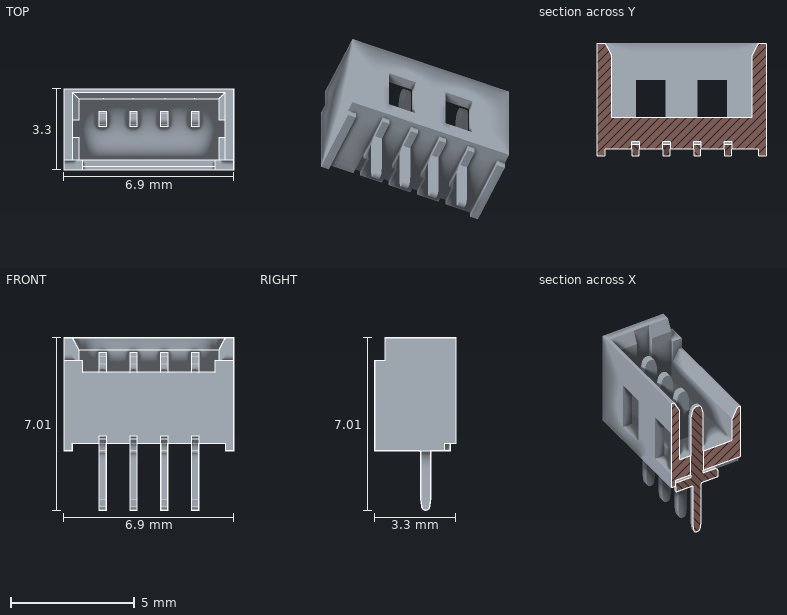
import cadquery as cq


length = 6.9
depth = 3.3
height = 4.6
overall_height = 7.01
back_y = 1.23
front_y = back_y - depth

floor_z = 1.6
wall = 0.41
end_wall = 0.61
cavity_length = length - 2 * end_wall
cavity_front_y = front_y + wall
cavity_back_y = back_y - wall

lead_in = 0.26
lead_in_depth = 0.51
mouth_length = cavity_length + 2 * lead_in

key_width = 0.72
key_y = -0.39

front_top_z = 3.68
window_length = 5.38
window_z = 3.2

opening_width = 1.2
opening_bottom_z = 1.0
opening_top_z = 3.1
opening_spacing = 2.5

foot_height = 0.3
foot_length = 0.34
foot_setback = 0.46

pin_count = 4
pitch = 1.25
pin_thickness = 0.3
upper_half_width = 0.3
upper_tip_half_width = 0.22
upper_taper_z = 3.52
upper_arc_z = 3.84
upper_tip_z = 4.0
lower_half_width = 0.205
lower_tip_half_width = 0.165
lower_taper_z = -1.98
lower_arc_z = -2.26
lower_tip_z = height - overall_height
arm_reach = 1.0
arm_height = 0.49
arm_corner_radius = 0.19
arm_root_radius = 0.07

slot_height = 0.6

pin_xs = [(i - (pin_count - 1) / 2) * pitch for i in range(pin_count)]


def block(x_size, y_min, y_max, z_min, z_max, x=0):
    """Box centred on x, between the given Y and Z limits."""
    return (
        cq.Workplane("XY")
        .box(x_size, y_max - y_min, z_max - z_min, centered=(True, False, False))
        .translate((x, y_min, z_min))
    )


def yz_prism(points, x_size):
    """Closed outline of (Y, Z) points, extruded to x_size about X = 0."""
    return cq.Workplane("YZ").polyline(points).close().extrude(x_size / 2, both=True)


def cavity():
    straight = block(cavity_length, cavity_front_y, cavity_back_y, floor_z, height)
    slope_z = height - lead_in_depth
    end_slopes = (
        cq.Workplane("XZ", origin=(0, cavity_front_y, 0))
        .polyline([
            (-cavity_length / 2, slope_z),
            (cavity_length / 2, slope_z),
            (mouth_length / 2, height),
            (-mouth_length / 2, height),
        ])
        .close()
        .extrude(cavity_front_y - back_y)
    )
    back_slope = yz_prism(
        [
            (cavity_front_y, slope_z),
            (cavity_back_y, slope_z),
            (cavity_back_y + lead_in, height),
            (cavity_front_y, height),
        ],
        mouth_length,
    )
    keys = block(mouth_length, key_y - key_width / 2, key_y + key_width / 2, floor_z, height)
    return straight.union(end_slopes.intersect(back_slope)).union(keys)


def front_cutaway():
    """Lowered front edge, with a wide window whose sill carries the lead-in slope."""
    lowered = block(length, front_y, cavity_front_y, front_top_z, height)
    window = yz_prism(
        [
            (front_y, window_z),
            (cavity_front_y - lead_in, window_z),
            (cavity_front_y, window_z - lead_in_depth),
            (cavity_front_y, height),
            (front_y, height),
        ],
        window_length,
    )
    return lowered.union(window)


def underside_cut():
    """Space under the housing that leaves a foot along each end."""
    between_feet = block(length - 2 * foot_length, front_y, back_y, 0, foot_height)
    behind_feet = block(length, back_y - foot_setback, back_y, 0, foot_height)
    return between_feet.union(behind_feet)


def make_pin(x):
    outline = (
        cq.Workplane("YZ", origin=(x, 0, 0))
        .moveTo(upper_half_width, arm_height)
        .lineTo(upper_half_width, upper_taper_z)
        .lineTo(upper_tip_half_width, upper_arc_z)
        .threePointArc((0, upper_tip_z), (-upper_tip_half_width, upper_arc_z))
        .lineTo(-upper_half_width, upper_taper_z)
        .lineTo(-upper_half_width, arm_height)
        .lineTo(-arm_reach + arm_corner_radius, arm_height)
        .tangentArcPoint((-arm_corner_radius, -arm_corner_radius))
        .lineTo(-arm_reach, 0)
        .lineTo(-lower_half_width - arm_root_radius, 0)
        .tangentArcPoint((arm_root_radius, -arm_root_radius))
        .lineTo(-lower_half_width, lower_taper_z)
        .lineTo(-lower_tip_half_width, lower_arc_z)
        .threePointArc((0, lower_tip_z), (lower_tip_half_width, lower_arc_z))
        .lineTo(lower_half_width, lower_taper_z)
        .lineTo(lower_half_width, 0)
        .lineTo(arm_reach, 0)
        .lineTo(arm_reach, arm_height)
        .close()
    )
    return outline.extrude(pin_thickness / 2, both=True)


def make_housing():
    body = block(length, front_y, back_y, 0, height)
    body = body.cut(cavity()).cut(front_cutaway()).cut(underside_cut())
    for side in (-1, 1):
        opening_x = side * opening_spacing / 2
        body = body.cut(block(opening_width, cavity_back_y, back_y, opening_bottom_z, opening_top_z, opening_x))
    for x in pin_xs:
        arm_slot = block(pin_thickness, front_y, arm_reach, 0, slot_height, x)
        pin_hole = block(pin_thickness, -upper_half_width, upper_half_width, 0, floor_z, x)
        body = body.cut(arm_slot).cut(pin_hole)
    return body


housing = make_housing()
pins = [make_pin(x) for x in pin_xs]

result = cq.Compound.makeCompound([housing.val(), *[pin.val() for pin in pins]])